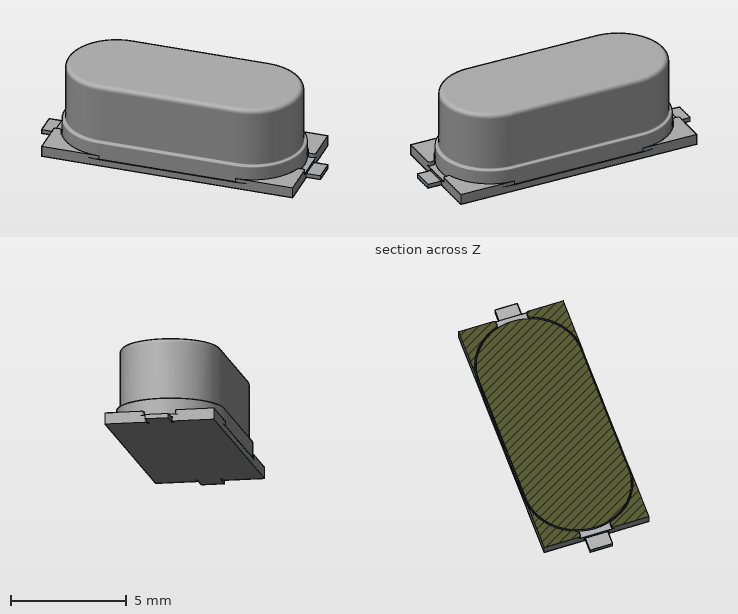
import cadquery as cq

LENGTH = 12.7
WIDTH = 4.8
HEIGHT = 3.81

PLATE_LENGTH = 11.43
PLATE_THICKNESS = 0.5
RECESS_FLOOR = 0.3
RECESS_RADIUS = WIDTH / 2

NOTCH_WIDTH = 1.4
NOTCH_FILLET = 0.1

LEAD_WIDTH = 1.03
LEAD_THICKNESS = 0.19
SLOT_CLEARANCE = 0.05
SLOT_DEPTH = 0.25

ARC_SPACING = 6.22
FLANGE_RADIUS = 2.35
FLANGE_TOP = 1.1
FLANGE_FILLET = 0.05
CAN_RADIUS = 2.2
CAN_TOP_FILLET = 0.2
CAN_FOOT_FILLET = 0.05


def obround(radius, bottom, top):
    """Upright obround prism whose end arcs have the given radius."""
    return (
        cq.Workplane("XY")
        .workplane(offset=bottom)
        .slot2D(ARC_SPACING + 2 * radius, 2 * radius)
        .extrude(top - bottom)
    )


def block(length, width, bottom, top):
    """Box centred on the Z axis between two heights."""
    return (
        cq.Workplane("XY")
        .workplane(offset=bottom)
        .rect(length, width)
        .extrude(top - bottom)
    )


def make_plate():
    """Plate with the can recess and the round-cornered end notches."""
    recess = obround(RECESS_RADIUS, RECESS_FLOOR, PLATE_THICKNESS)
    notches = block(PLATE_LENGTH, NOTCH_WIDTH, RECESS_FLOOR, PLATE_THICKNESS)
    plate = block(PLATE_LENGTH, WIDTH, 0, PLATE_THICKNESS).cut(notches).cut(recess)

    notch_corners = cq.selectors.BoxSelector(
        (-LENGTH, -NOTCH_WIDTH / 2 - NOTCH_FILLET, RECESS_FLOOR),
        (LENGTH, NOTCH_WIDTH / 2 + NOTCH_FILLET, PLATE_THICKNESS),
    )
    return plate.edges("|Z").edges(notch_corners).fillet(NOTCH_FILLET)


def make_can():
    """Rounded can standing on its flange, which sits on the recess floor."""
    flange = obround(FLANGE_RADIUS, RECESS_FLOOR, FLANGE_TOP)
    flange = flange.faces(">Z").edges().fillet(FLANGE_FILLET)
    shell = obround(CAN_RADIUS, RECESS_FLOOR, HEIGHT)
    shell = shell.faces(">Z").edges().fillet(CAN_TOP_FILLET)

    foot_reach = CAN_RADIUS + CAN_FOOT_FILLET
    foot_edges = cq.selectors.BoxSelector(
        (-LENGTH, -foot_reach, FLANGE_TOP - CAN_FOOT_FILLET),
        (LENGTH, foot_reach, FLANGE_TOP + CAN_FOOT_FILLET),
    )
    can = flange.union(shell)
    return can.edges("not |Z").edges(foot_edges).fillet(CAN_FOOT_FILLET)


def add_leads(plate):
    """Plate with an open slot under each end and a lead sticking out of it."""
    slot_width = LEAD_WIDTH + 2 * SLOT_CLEARANCE
    uncut_length = PLATE_LENGTH - 2 * SLOT_DEPTH
    slots = block(PLATE_LENGTH, slot_width, 0, LEAD_THICKNESS).cut(
        block(uncut_length, slot_width, 0, LEAD_THICKNESS)
    )
    leads = block(LENGTH, LEAD_WIDTH, 0, LEAD_THICKNESS)
    return plate.cut(slots).union(leads)


result = add_leads(make_plate()).union(make_can())